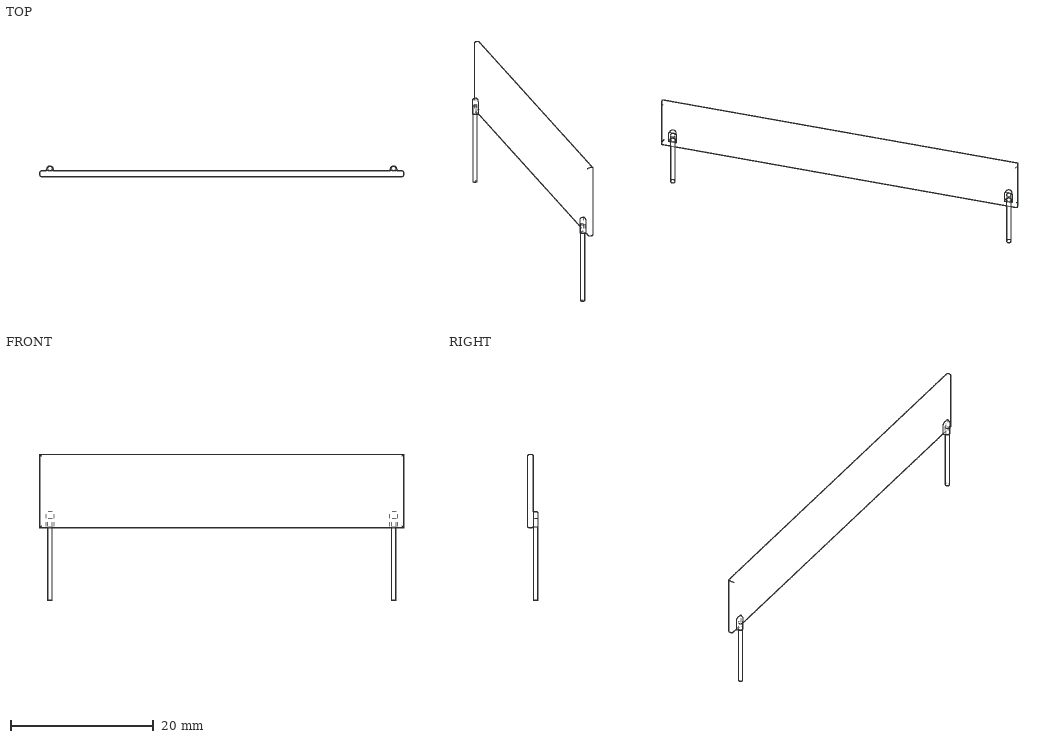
import cadquery as cq

plate_length = 51.1
plate_thickness = 0.85
plate_height = 10.3
edge_radius = 0.3

pin_diameter = 0.6
pin_spacing = 48.25
pin_drop = 10.15
pin_insertion = 1.35
pin_offset = pin_diameter / 2
pin_y = plate_thickness + pin_offset

boss_base_width = 1.1
boss_shoulder_width = 0.85
boss_shoulder_depth = 0.3
boss_depth = 0.65
boss_root = 0.45
boss_bottom = 0.1
boss_height = 2.2
boss_top_radius = 0.3

pin_positions = [side * pin_spacing / 2 for side in (-1, 1)]


def make_pin(x):
    """Round lead running from its free end up into the boss."""
    return (
        cq.Workplane("XY", origin=(x, pin_y, -pin_drop))
        .circle(pin_diameter / 2)
        .extrude(pin_drop + pin_insertion)
    )


def boss_outline(x, z):
    """Boss cross-section: sloped flanks closed by a round crown."""
    base = boss_base_width / 2
    shoulder = boss_shoulder_width / 2
    return (
        cq.Workplane("XY", origin=(x, plate_thickness, z))
        .moveTo(-base, -boss_root)
        .lineTo(base, -boss_root)
        .lineTo(base, 0)
        .lineTo(shoulder, boss_shoulder_depth)
        .threePointArc((0, boss_depth), (-shoulder, boss_shoulder_depth))
        .lineTo(-base, 0)
        .close()
    )


def make_boss(x):
    """Straight ridge with a rounded top edge."""
    ridge = boss_outline(x, boss_bottom).extrude(boss_height)
    return ridge.faces(">Z").edges().fillet(boss_top_radius)


def make_plate():
    """Round-edged slab with its bosses, bored to receive the pins."""
    plate = (
        cq.Workplane("XY")
        .box(plate_length, plate_thickness, plate_height, centered=(True, False, False))
        .faces("<Y or >Y")
        .edges()
        .fillet(edge_radius)
    )
    for x in pin_positions:
        plate = plate.union(make_boss(x)).cut(make_pin(x))
    return plate


plate = make_plate()
pins = [make_pin(x) for x in pin_positions]

result = cq.Compound.makeCompound([plate.val(), *[pin.val() for pin in pins]])